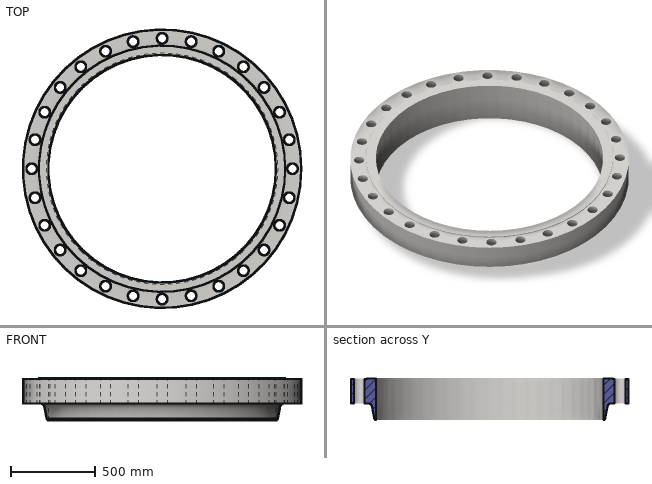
import cadquery as cq

outer_diameter = 1657.0
total_height = 252.0
bore_diameter = 1352.0

raised_face_diameter = 1465.0
raised_face_height = 5.0
flange_underside_depth = 152.0

neck_root_diameter = 1412.0
neck_tip_diameter = 1377.0
weld_end_diameter = 1359.0
weld_bevel_height = 10.0
root_fillet_radius = 18.0

bolt_count = 28
bolt_circle_diameter = 1551.0
bolt_hole_diameter = 61.0

flange_top = total_height - raised_face_height
flange_bottom = total_height - flange_underside_depth


def flange_body():
    """Revolve the half section of the flange and neck about Z."""
    section = [
        (bore_diameter / 2, 0),
        (weld_end_diameter / 2, 0),
        (neck_tip_diameter / 2, weld_bevel_height),
        (neck_root_diameter / 2, flange_bottom),
        (outer_diameter / 2, flange_bottom),
        (outer_diameter / 2, flange_top),
        (raised_face_diameter / 2, flange_top),
        (raised_face_diameter / 2, total_height),
        (bore_diameter / 2, total_height),
    ]
    return cq.Workplane("XZ").polyline(section).close().revolve(360, (0, 0), (0, 1))


def round_neck_root(body):
    """Fillet the corner where the neck meets the flange underside."""
    reach = neck_root_diameter / 2 + root_fillet_radius
    margin = root_fillet_radius / 2
    root_zone = cq.selectors.BoxSelector(
        (-reach, -reach, flange_bottom - margin),
        (reach, reach, flange_bottom + margin),
        boundingbox=True,
    )
    return body.edges("%CIRCLE").edges(root_zone).fillet(root_fillet_radius)


def bolt_holes():
    """Evenly spaced through-hole cutters, the first one on +X."""
    return (
        cq.Workplane("XY")
        .polarArray(bolt_circle_diameter / 2, 0, 360, bolt_count)
        .circle(bolt_hole_diameter / 2)
        .extrude(total_height)
    )


result = round_neck_root(flange_body()).cut(bolt_holes())